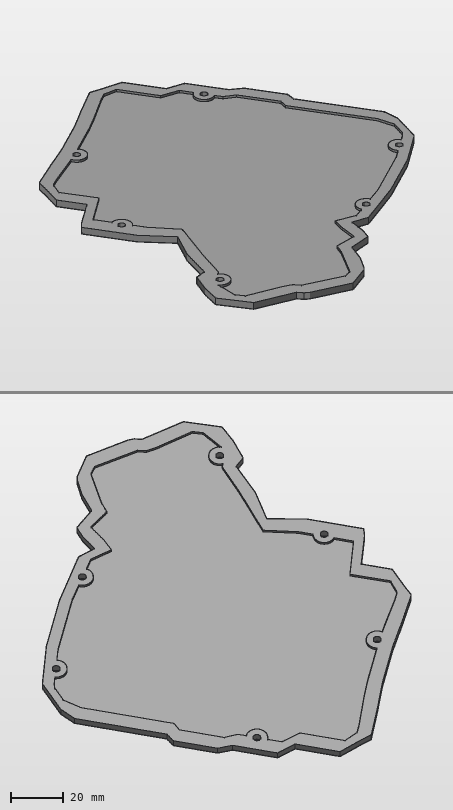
import cadquery as cq

plate_thickness = 3.0
pocket_depth = 1.0
hole_diameter = 3.0
pad_diameter = 8.5
left_mid_y = 23.2

outer_left_upper = [
    (-67.4, 32.1), (-67.9, 40.0), (-68.2, 44.1), (-68.8, 58.0),
    (-68.8, 58.8), (-65.2, 62.5), (-59.0, 69.5),
]
pocket_left_upper = [(-61.6, 32.8), (-62.0, 40.0), (-63.2, 55.4), (-63.2, 59.0), (-59.6, 63.8)]

outer_rest = [
    (-41.3, 69.5), (-35.7, 75.3), (-18.1, 75.3), (-12.8, 78.0), (4.5, 78.0), (7.6, 75.3), (43.8, 75.3),
    (49.9, 72.0), (59.6, 61.1), (62.1, 42.7), (62.1, 19.5), (59.6, -3.3), (54.5, -8.6),
    (60.0, -13.3), (63.3, -17.3), (59.6, -26.8), (64.9, -33.7), (68.3, -40.5), (68.6, -42.1), (67.4, -52.7),
    (53.5, -64.0), (51.3, -65.0), (48.5, -65.4), (34.8, -77.4), (19.8, -78.0),
    (14.0, -72.0), (8.6, -64.7), (10.3, -60.0), (0.3, -49.0),
    (-6.7, -37.3), (-21.8, -40.4), (-44.0, -40.4), (-45.0, -37.7), (-46.8, -23.1),
]
pocket_rest = [
    (-42.0, 63.8), (-36.2, 69.5), (-18.9, 69.5), (-14.2, 72.2), (3.5, 72.2), (6.1, 69.5), (42.6, 69.5),
    (49.9, 67.4), (54.6, 62.1), (55.2, 59.7), (57.4, 43.0), (57.4, 17.8), (54.8, -3.1), (48.0, -9.4),
    (51.6, -13.3), (58.2, -18.7), (53.8, -27.5), (56.6, -31.2), (63.8, -44.6), (63.2, -48.4),
    (48.8, -59.7), (45.5, -60.2), (42.3, -62.5), (30.4, -73.3), (26.2, -73.6), (15.6, -66.6),
    (15.6, -58.8), (6.4, -48.0),
    (-6.5, -31.4), (-20.0, -33.5), (-41.5, -33.5), (-43.7, -17.2),
]

hole_centers = [
    (-26.4, 69.5), (-60.8, 12.2), (56.0, 52.7), (56.0, 6.1), (17.6, -64.0), (-29.8, -34.5),
]


def closed_outline(left_upper, rest):
    """Join the left side, its mirror image and the remaining points."""
    left_lower = [(x, 2 * left_mid_y - y) for x, y in reversed(left_upper)]
    return left_lower + left_upper + rest


def prism(points, bottom, height):
    """Upright block with the given outline."""
    return cq.Workplane("XY").workplane(offset=bottom).polyline(points).close().extrude(height)


def cylinders_at_holes(diameter, bottom, height):
    """One upright cylinder at every screw hole."""
    plane = cq.Workplane("XY").workplane(offset=bottom)
    return plane.pushPoints(hole_centers).circle(diameter / 2).extrude(height)


pocket_floor = plate_thickness - pocket_depth

plate = prism(closed_outline(outer_left_upper, outer_rest), 0, plate_thickness)
pocket = prism(closed_outline(pocket_left_upper, pocket_rest), pocket_floor, pocket_depth)
pocket = pocket.cut(cylinders_at_holes(pad_diameter, pocket_floor, pocket_depth))
holes = cylinders_at_holes(hole_diameter, 0, plate_thickness)

result = plate.cut(pocket).cut(holes)